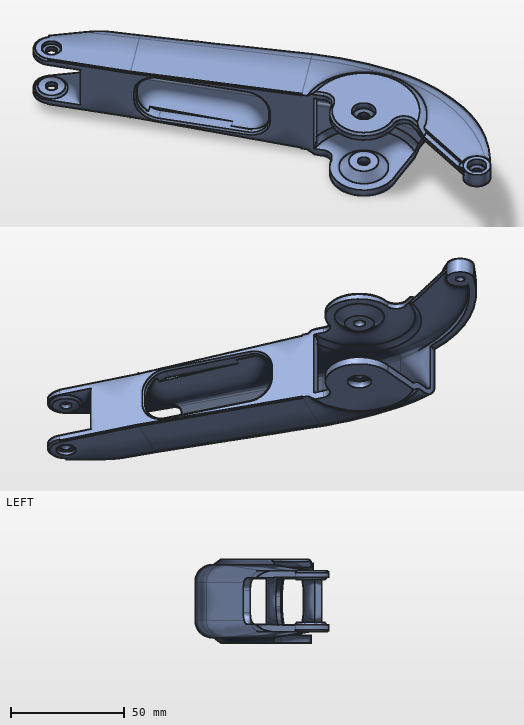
import cadquery as cq
import math

WALL = 3.0
BACK_ROUND = 7.8
INNER_ROUND = 3.0
FORK_BACK_ROUND = 5.0
FORK_INNER_ROUND = 2.0
TAIL_ROUND_ARC = 81.0
EAR_BREAK = 1.0
TAIL_BREAK = 2.5
EDGE_BREAK = 0.9
LARGE = 130.5

FORK_HALF_HEIGHT = 13.5
ARM_HALF_HEIGHT = 16.0
RISE_LENGTH = 77.2
FORK_LENGTH = 65.2
SECTION_DEPTH = 87.0

APEX_Y = 36.0
BACK_SLOPE = math.radians(14.6)
FRONT_LIMIT_Y = -32.5
CREST_RADIUS = 152.2

FORK_X, FORK_Y = -144.1, -14.8
FORK_RADIUS = 8.0
FORK_HOLE_RADIUS = 2.5
FORK_COUNTERBORE_RADIUS = 4.3
FORK_COUNTERBORE_DEPTH = 1.7
FORK_BOSS_RADIUS = 7.2
FORK_BOSS_HEIGHT = 1.0
NOSE_SLOPE = math.radians(33)
NOSE_BLEND_RADIUS = 26.0

TAIL_X, TAIL_Y = 59.1, -9.8
TAIL_RADIUS = 6.0
TAIL_RIM = 0.2
TAIL_TOP = 16.7
TAIL_UNDERSIDE = 9.8
TAIL_HOLE_RADIUS = 2.0
TAIL_COUNTERBORE_RADIUS = 4.1
TAIL_COUNTERBORE_DEPTH = 3.3
TAIL_COLLAR_RADIUS = 7.8
TAIL_COLLAR_HEIGHT = 1.3
TAIL_SLOPE = math.radians(28)

FRONT_SLOPE = math.radians(11.7)
FRONT_WALL_START_X = -128.0
FRONT_WALL_END_X = -25.0
WINDOW_START_X, WINDOW_END_X = -103.5, -45.0
WINDOW_HALF_HEIGHT = 12.0
WINDOW_CORNER_RADIUS = 9.8
WINDOW_BREAK = 0.9

PAD_TOP = 18.5
PAD_RADIUS = 24.5
PAD_FLANK_RUN = 3.3
PAD_THICKNESS = 3.5
EAR_RADIUS = 15.0
EAR_BLEND_RADIUS = 4.8
EAR_ZONE = 43.5
EAR_ZONE_TOP_Y = 6.5
HUB_BASE_RADIUS = 10.9
HUB_TIP_RADIUS = 6.5
HUB_HEIGHT = 3.5
PIVOT_HOLE_RADIUS = 2.5
PIVOT_COUNTERBORE_RADIUS = 5.2
PIVOT_COUNTERBORE_DEPTH = 3.3
BACK_WALL_END_X = 17.5

FORK_OPENING_X = -100.9
FORK_OPENING_HALF_HEIGHT = 10.2
FORK_OPENING_CORNER_RADIUS = 5.5
FORK_OPENING_FRONT_Y = -8.7

CREST_CENTER_Y = APEX_Y - CREST_RADIUS
TAIL_END_RADIUS = TAIL_RADIUS - TAIL_RIM
TAIL_REACH = APEX_Y - TAIL_END_RADIUS
TAIL_ARC_CENTER_Y = (TAIL_REACH**2 - TAIL_X**2 - TAIL_Y**2) / (2 * (TAIL_REACH - TAIL_Y))
TAIL_ARC_RADIUS = APEX_Y - TAIL_ARC_CENTER_Y
TAIL_EYE_END_ANGLE = math.atan2(TAIL_Y - TAIL_ARC_CENTER_Y, TAIL_X)
FORK_INNER = FORK_HALF_HEIGHT - WALL
EAR_INNER = PAD_TOP - PAD_THICKNESS


def polar(cx, cy, radius, angle):
    return (cx + radius * math.cos(angle), cy + radius * math.sin(angle))


def crest_point(radius, slope):
    return polar(0, CREST_CENTER_Y, radius, math.pi / 2 + slope)


def along_line(point, slope, x):
    return (x, point[1] + (x - point[0]) * math.tan(slope))


def crossing(point_a, slope_a, point_b, slope_b):
    """Point where two sloping lines cross."""
    tan_a, tan_b = math.tan(slope_a), math.tan(slope_b)
    x = (point_b[1] - point_a[1] + point_a[0] * tan_a - point_b[0] * tan_b) / (tan_a - tan_b)
    return along_line(point_a, slope_a, x)


FRONT_TANGENT = polar(FORK_X, FORK_Y, FORK_RADIUS, FRONT_SLOPE - math.pi / 2)
NOSE_TANGENT = polar(FORK_X, FORK_Y, FORK_RADIUS, NOSE_SLOPE + math.pi / 2)
TAIL_TANGENT = polar(TAIL_X, TAIL_Y, TAIL_END_RADIUS, -TAIL_SLOPE - math.pi / 2)


def both_sides(upper):
    return upper.union(upper.mirror("XY"))


def prism(sketch, bottom=-LARGE / 2, top=LARGE / 2):
    """Extrude a closed XY outline between two heights."""
    return sketch.extrude(top - bottom).translate((0, 0, bottom))


def cylinder(x, y, radius, bottom, top):
    return prism(cq.Workplane("XY").center(x, y).circle(radius), bottom, top)


def cone(x, y, bottom_radius, top_radius, bottom, top):
    return (
        cq.Workplane("XY", origin=(x, y, bottom)).circle(bottom_radius)
        .workplane(offset=top - bottom).circle(top_radius).loft()
    )


def tail_arc(sketch, radius, center_y):
    """Continue from the apex along an arc down to the front limit."""
    end = math.asin((FRONT_LIMIT_Y - center_y) / radius)
    middle = (math.pi / 2 + end) / 2
    return sketch.threePointArc(
        polar(0, center_y, radius, middle), polar(0, center_y, radius, end)
    )


def straight_arm(inset, rounding, fork_rounding):
    """Level fork stretch and rising stretch, lofted through three rounded sections."""
    crest_start = crest_point(CREST_RADIUS - inset, BACK_SLOPE)
    along = (math.cos(BACK_SLOPE), math.sin(BACK_SLOPE), 0)
    into_arm = (math.sin(BACK_SLOPE), -math.cos(BACK_SLOPE), 0)

    def section(distance, half_height, radius):
        origin = (*polar(*crest_start, -distance, BACK_SLOPE), 0)
        plane = cq.Plane(origin, xDir=into_arm, normal=along)
        flat = half_height - inset
        corner = radius * (1 - math.sqrt(0.5))
        side = flat - radius
        sketch = (
            cq.Workplane(plane)
            .moveTo(SECTION_DEPTH, -flat)
            .lineTo(radius, -flat)
            .threePointArc((corner, -flat + corner), (0, -side))
            .lineTo(0, side)
            .threePointArc((corner, flat - corner), (radius, flat))
            .lineTo(SECTION_DEPTH, flat)
            .close()
        )
        return sketch.val()

    crest = section(0, ARM_HALF_HEIGHT, rounding)
    fold = section(RISE_LENGTH, FORK_HALF_HEIGHT, fork_rounding)
    end = section(RISE_LENGTH + FORK_LENGTH, FORK_HALF_HEIGHT, fork_rounding)
    rise = cq.Workplane(cq.Solid.makeLoft([fold, crest], True))
    fork = cq.Workplane(cq.Solid.makeLoft([end, fold], True))
    return rise.union(fork)


def curved_arm(inset, rounding):
    """Crest and tail, with a back rounding that fades out toward the tail eye."""
    height = ARM_HALF_HEIGHT - inset
    crest = CREST_RADIUS - inset
    crest_start = crest_point(crest, BACK_SLOPE)
    drop = crest_start[1] - FRONT_LIMIT_Y
    start_low = (crest_start[0] + drop * math.tan(BACK_SLOPE), FRONT_LIMIT_Y)

    def outline(radius, center_y):
        to_apex = (
            cq.Workplane("XY")
            .moveTo(*start_low)
            .lineTo(*crest_start)
            .threePointArc(crest_point(crest, BACK_SLOPE / 2), (0, APEX_Y - inset))
        )
        return tail_arc(to_apex, radius, center_y).close()

    rounded = prism(outline(TAIL_ROUND_ARC - inset, APEX_Y - TAIL_ROUND_ARC), -height, height)
    back_edges = rounded.faces("|Z").edges("%CIRCLE")
    rounded = back_edges.fillet(rounding)
    return rounded.intersect(prism(outline(TAIL_ARC_RADIUS - inset, TAIL_ARC_CENTER_Y)))


def arm(inset, rounding, fork_rounding):
    """Arm body shrunk by inset, open ended at the front and at the fork."""
    return straight_arm(inset, rounding, fork_rounding).union(curved_arm(inset, rounding))


def silhouette():
    """Vertical prism that trims the arm: fork nose, front edges, tail end and pivot ear."""
    front_peak = crossing(FRONT_TANGENT, FRONT_SLOPE, TAIL_TANGENT, -TAIL_SLOPE)
    crest_start = crest_point(CREST_RADIUS, BACK_SLOPE)
    nose_corner = crossing(NOSE_TANGENT, NOSE_SLOPE, crest_start, BACK_SLOPE)
    tail_middle = (math.pi / 2 + TAIL_EYE_END_ANGLE) / 2
    trim = prism(
        cq.Workplane("XY")
        .moveTo(*FRONT_TANGENT)
        .lineTo(*front_peak)
        .lineTo(*TAIL_TANGENT)
        .threePointArc(
            polar(TAIL_X, TAIL_Y, TAIL_END_RADIUS, -math.pi / 4),
            polar(TAIL_X, TAIL_Y, TAIL_END_RADIUS, TAIL_EYE_END_ANGLE),
        )
        .threePointArc(polar(0, TAIL_ARC_CENTER_Y, TAIL_ARC_RADIUS, tail_middle), (0, APEX_Y))
        .threePointArc(crest_point(CREST_RADIUS, BACK_SLOPE / 2), crest_start)
        .lineTo(*nose_corner)
        .lineTo(*NOSE_TANGENT)
        .threePointArc((FORK_X - FORK_RADIUS, FORK_Y), FRONT_TANGENT)
        .close()
    )
    at_nose = cq.selectors.NearestToPointSelector((*nose_corner, 0))
    trim = trim.edges("|Z").edges(at_nose).fillet(NOSE_BLEND_RADIUS)
    trim = trim.union(prism(cq.Workplane("XY").circle(EAR_RADIUS)))
    for side in (-EAR_RADIUS, EAR_RADIUS):
        at_ear = cq.selectors.NearestToPointSelector((side, 2.2, 0))
        trim = trim.edges("|Z").edges(at_ear).fillet(EAR_BLEND_RADIUS)
    return trim


def pad(lowered):
    """Raised pivot pads with sloping flanks, sunk by lowered."""
    top = PAD_TOP - lowered
    base = top - PAD_THICKNESS
    base_radius = PAD_RADIUS + PAD_THICKNESS * PAD_FLANK_RUN / (PAD_TOP - ARM_HALF_HEIGHT)
    return both_sides(cone(0, 0, base_radius, PAD_RADIUS, base, top))


def pads_with_ears(trim):
    """Pivot pads trimmed to the ears, with the upper ear edge bevelled."""
    pads = pad(0).intersect(trim)
    ear_zone = cq.selectors.BoxSelector(
        (-EAR_ZONE, -EAR_ZONE, 0), (EAR_ZONE, EAR_ZONE_TOP_Y, EAR_ZONE)
    )
    return pads.faces(">Z").edges(ear_zone).chamfer(EAR_BREAK)


def front_wall():
    """Wall between the plates along the front edge."""
    start = along_line(FRONT_TANGENT, FRONT_SLOPE, FRONT_WALL_START_X)
    end = along_line(FRONT_TANGENT, FRONT_SLOPE, FRONT_WALL_END_X)
    rise = WALL / math.cos(FRONT_SLOPE)
    return prism(
        cq.Workplane("XY")
        .polyline([start, end, (end[0], end[1] + rise), (start[0], start[1] + rise)])
        .close()
    )


def window():
    """Rounded opening through the front wall, with broken outer edges."""
    middle_x = (WINDOW_START_X + WINDOW_END_X) / 2
    origin = along_line(FRONT_TANGENT, FRONT_SLOPE, middle_x)
    along = (math.cos(FRONT_SLOPE), math.sin(FRONT_SLOPE), 0)
    outward = (math.sin(FRONT_SLOPE), -math.cos(FRONT_SLOPE), 0)
    plane = cq.Plane((*origin, 0), xDir=along, normal=outward)
    length = (WINDOW_END_X - WINDOW_START_X) / math.cos(FRONT_SLOPE)
    opening = (
        cq.Workplane(plane).rect(length, 2 * WINDOW_HALF_HEIGHT).extrude(-2 * WALL)
        .edges("|(%s, %s, 0)" % outward[:2]).fillet(WINDOW_CORNER_RADIUS)
    )
    flare = (
        cq.Workplane(plane)
        .sketch().rect(length + 2 * WINDOW_BREAK, 2 * (WINDOW_HALF_HEIGHT + WINDOW_BREAK))
        .vertices().fillet(WINDOW_CORNER_RADIUS + WINDOW_BREAK).finalize()
        .extrude(-WINDOW_BREAK, taper=45)
    )
    return opening.union(flare)


def fork_opening():
    """Opening through the back wall that clears the space between the fork plates."""
    return (
        cq.Workplane("XZ").workplane(offset=-LARGE)
        .center(FORK_OPENING_X - LARGE / 2, 0)
        .rect(LARGE, 2 * FORK_OPENING_HALF_HEIGHT)
        .extrude(LARGE - FORK_OPENING_FRONT_Y)
        .edges("|Y and >X").fillet(FORK_OPENING_CORNER_RADIUS)
    )


def below_tail():
    """Everything beside the pivot and below the tail, which only the upper plate reaches."""
    outline = cq.Workplane("XY").polyline([
        (EAR_RADIUS, 0), (BACK_WALL_END_X, APEX_Y), (BACK_WALL_END_X, LARGE),
        (LARGE, LARGE), (LARGE, -LARGE), (EAR_RADIUS, -LARGE),
    ])
    return prism(outline.close(), -LARGE, TAIL_UNDERSIDE)


def bevel_profile(edge, size):
    """Cross-section of a bevel cutter whose plate edge lies at the given first coordinate."""
    return [
        (edge - size, size / 2), (edge - size, 0), (edge, -size),
        (edge + size / 2, -size), (edge + size / 2, size / 2),
    ]


def edge_bar(start, end, size):
    """Cutter that bevels a straight upper edge, with the plate on the left of its direction."""
    edge = cq.Vector(*end) - cq.Vector(*start)
    outward = cq.Vector(edge.y, -edge.x, 0)
    plane = cq.Plane(start, xDir=outward.toTuple(), normal=edge.toTuple())
    return cq.Workplane(plane).polyline(bevel_profile(0, size)).close().extrude(edge.Length)


def fork_edge_ring():
    """Cutter that bevels the rounded end of the upper fork plate."""
    turn = math.degrees(math.pi - NOSE_SLOPE + FRONT_SLOPE)
    return (
        cq.Workplane("XZ")
        .polyline(bevel_profile(FORK_RADIUS, EDGE_BREAK))
        .close()
        .revolve(turn, (0, 0, 0), (0, 1, 0))
        .rotate((0, 0, 0), (0, 0, 1), 90 + math.degrees(NOSE_SLOPE))
        .translate((FORK_X, FORK_Y, FORK_HALF_HEIGHT))
    )


def front_edge_point(distance):
    """Point of the front edge square across from the back edge, at a distance before the crest."""
    back = polar(*crest_point(CREST_RADIUS, BACK_SLOPE), -distance, BACK_SLOPE)
    return crossing(FRONT_TANGENT, FRONT_SLOPE, back, BACK_SLOPE - math.pi / 2)


def front_breaks():
    """Bevel cutters along the fork eyes and the sloping front edge."""
    start = (*FRONT_TANGENT, FORK_HALF_HEIGHT)
    fold = (*front_edge_point(RISE_LENGTH), FORK_HALF_HEIGHT)
    crest = (*front_edge_point(0), ARM_HALF_HEIGHT)
    bars = edge_bar(start, fold, EDGE_BREAK).union(edge_bar(fold, crest, EDGE_BREAK))
    return both_sides(bars.union(fork_edge_ring()))


def tail_break():
    """Bevel cutter along the front edge of the tail."""
    start = along_line(TAIL_TANGENT, -TAIL_SLOPE, PAD_RADIUS)
    return edge_bar((*start, ARM_HALF_HEIGHT), (*TAIL_TANGENT, ARM_HALF_HEIGHT), TAIL_BREAK)


trim = silhouette()
shell = arm(0, BACK_ROUND, FORK_BACK_ROUND).intersect(trim)
shell = shell.cut(front_breaks()).cut(tail_break())
shell = shell.union(pads_with_ears(trim))
cavity = arm(WALL, INNER_ROUND, FORK_INNER_ROUND).union(pad(PAD_THICKNESS))
part = shell.cut(cavity)
part = part.union(front_wall().intersect(shell))
part = part.cut(window()).cut(fork_opening()).cut(below_tail())

fork_boss = cone(
    FORK_X, FORK_Y, FORK_BOSS_RADIUS - FORK_BOSS_HEIGHT, FORK_BOSS_RADIUS,
    FORK_INNER - FORK_BOSS_HEIGHT, FORK_INNER,
)
hub = cone(0, 0, HUB_TIP_RADIUS, HUB_BASE_RADIUS, EAR_INNER - HUB_HEIGHT, EAR_INNER)
part = part.union(both_sides(fork_boss)).union(both_sides(hub))

tail_eye = cylinder(TAIL_X, TAIL_Y, TAIL_RADIUS, TAIL_UNDERSIDE, TAIL_TOP)
collar = cone(
    TAIL_X, TAIL_Y, TAIL_COLLAR_RADIUS, TAIL_RADIUS, TAIL_TOP - TAIL_COLLAR_HEIGHT, TAIL_TOP
)
part = part.union(tail_eye).union(collar.intersect(trim))

fork_bore = cylinder(
    FORK_X, FORK_Y, FORK_COUNTERBORE_RADIUS,
    FORK_HALF_HEIGHT - FORK_COUNTERBORE_DEPTH, FORK_HALF_HEIGHT,
)
pivot_bore = cylinder(
    0, 0, PIVOT_COUNTERBORE_RADIUS, PAD_TOP - PIVOT_COUNTERBORE_DEPTH, PAD_TOP
)
tail_bore = cylinder(
    TAIL_X, TAIL_Y, TAIL_COUNTERBORE_RADIUS, TAIL_TOP - TAIL_COUNTERBORE_DEPTH, TAIL_TOP
)
part = part.cut(cylinder(FORK_X, FORK_Y, FORK_HOLE_RADIUS, -LARGE, LARGE))
part = part.cut(both_sides(fork_bore))
part = part.cut(cylinder(0, 0, PIVOT_HOLE_RADIUS, -LARGE, LARGE))
part = part.cut(both_sides(pivot_bore))
part = part.cut(cylinder(TAIL_X, TAIL_Y, TAIL_HOLE_RADIUS, -LARGE, LARGE))
part = part.cut(tail_bore)

result = part